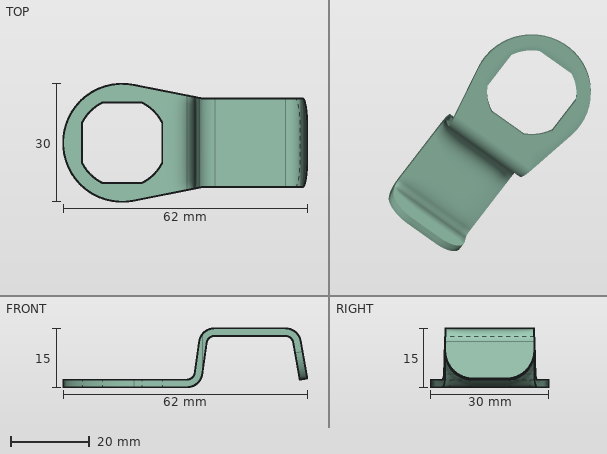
import cadquery as cq
import math

length = 62.0
height = 15.0
thickness = 2.0
ring_radius = 15.0
strip_width = 22.5
neck_end_x = 35.3

hole_radius = 11.35
hole_across_flats = 20.3

inner_bend_radius = 2.0
first_bend_x = 31.4
riser_lean = math.radians(8)
lip_lean = math.radians(10)
lip_length = 9.6
lip_corner_radius = 7.0

mid_radius = inner_bend_radius + thickness / 2
outer_radius = inner_bend_radius + thickness


def bend_sheet():
    """Bend a sheet as wide as the ring along its mid-thickness line."""
    low_z = thickness / 2
    high_z = height - thickness / 2
    bend_run = mid_radius * math.cos(riser_lean)
    bend_rise = mid_radius * (1 - math.sin(riser_lean))
    riser_start = (first_bend_x + bend_run, low_z + bend_rise)
    riser_rise = high_z - low_z - 2 * bend_rise
    riser_end = (riser_start[0] + riser_rise * math.tan(riser_lean), high_z - bend_rise)
    top_start = (riser_end[0] + bend_run, high_z)

    top_end_x = length - outer_radius * math.cos(lip_lean) - lip_length * math.sin(lip_lean)
    lip_start = (
        top_end_x + mid_radius * math.cos(lip_lean),
        high_z - mid_radius * (1 - math.sin(lip_lean)),
    )
    lip_end = (
        lip_start[0] + lip_length * math.sin(lip_lean),
        lip_start[1] - lip_length * math.cos(lip_lean),
    )
    path = (
        cq.Workplane("XZ")
        .moveTo(0, low_z)
        .lineTo(first_bend_x, low_z)
        .tangentArcPoint(riser_start, relative=False)
        .lineTo(*riser_end)
        .tangentArcPoint(top_start, relative=False)
        .lineTo(top_end_x, high_z)
        .tangentArcPoint(lip_start, relative=False)
        .lineTo(*lip_end)
    )
    section = cq.Workplane("YZ").center(0, low_z).rect(2 * ring_radius, thickness)
    return section.sweep(path)


def plan_prism():
    """Ring outline with tangent sides narrowing to the strip, seen along Z."""
    half_width = strip_width / 2
    neck_run = neck_end_x - ring_radius
    neck_distance = math.hypot(neck_run, half_width)
    tangent_angle = math.atan2(half_width, neck_run) + math.acos(ring_radius / neck_distance)
    tangent_x = ring_radius + ring_radius * math.cos(tangent_angle)
    tangent_y = ring_radius * math.sin(tangent_angle)
    return (
        cq.Workplane("XY")
        .moveTo(tangent_x, tangent_y)
        .threePointArc((0, 0), (tangent_x, -tangent_y))
        .lineTo(neck_end_x, -half_width)
        .lineTo(length, -half_width)
        .lineTo(length, half_width)
        .lineTo(neck_end_x, half_width)
        .close()
        .extrude(height)
    )


def hole_cutter():
    center = cq.Workplane("XY").center(ring_radius, 0)
    square = center.rect(hole_across_flats, hole_across_flats).extrude(thickness)
    return center.circle(hole_radius).extrude(thickness).intersect(square)


bracket = bend_sheet().intersect(plan_prism()).cut(hole_cutter())

through_lip = cq.Vector(math.cos(lip_lean), 0, math.sin(lip_lean))
result = bracket.edges(cq.selectors.ParallelDirSelector(through_lip)).fillet(lip_corner_radius)